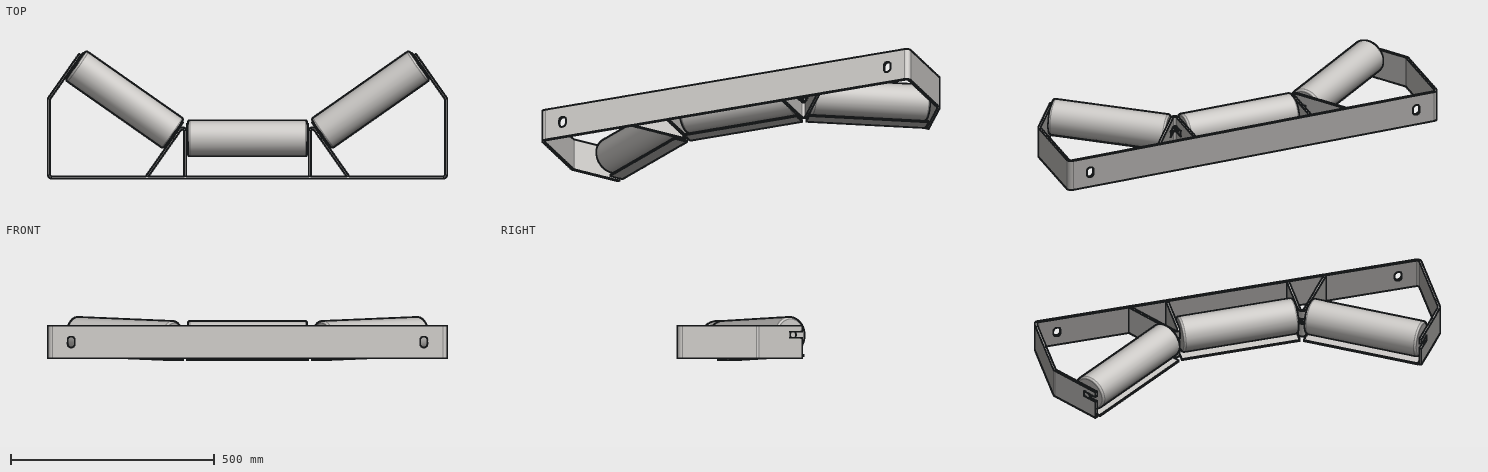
import cadquery as cq
import math

bar_thickness = 6
bar_height = 80
foot_bend_inner_radius = 6
foot_bend_outer_radius = foot_bend_inner_radius + bar_thickness
bend_inner_radius = 4
bend_outer_radius = bend_inner_radius + bar_thickness

frame_half_width = 490
trough_angle = 35
upright_height = 196.6
arm_length = 134.5
mount_hole_x = 432
mount_hole_width = 18
mount_hole_height = 27

roller_radius = 44.5
roller_length = 292
roller_end_fillet = 5
axle_diameter = 18
axle_flat_height = 15
slot_reach = 45
slot_depth_margin = 2

forward_tilt = 2
center_axis_y = 99.5
center_axis_z = 47.5
side_axis_drop = 28
side_axis_outer_z = 57.9

support_gap = 300

strip_width = 36
strip_length = 299
strip_thickness = 4
strip_bottom_drop = 52.4

axle_length = support_gap + 2 * bar_thickness
flat_length = bar_thickness + 2 * slot_depth_margin

trough = math.radians(trough_angle)
tilt = math.radians(forward_tilt)
arm_along = (math.sin(trough), math.cos(trough))
arm_normal = (math.cos(trough), -math.sin(trough))
inner_corner_drop = bar_thickness * math.tan(trough / 2)


def step(point, direction, distance):
    """Point reached from another by moving along a direction in plan."""
    return (point[0] + direction[0] * distance, point[1] + direction[1] * distance)


def round_bend(body, corner, radius):
    """Fillet the upright edge standing on a plan corner."""
    edge_middle = (corner[0], corner[1], bar_height / 2)
    return body.edges(cq.selectors.NearestToPointSelector(edge_middle)).fillet(radius)


frame_foot_outer = (-frame_half_width, 0)
frame_foot_inner = (-frame_half_width + bar_thickness, bar_thickness)
arm_root_outer = (-frame_half_width, upright_height)
arm_root_inner = (-frame_half_width + bar_thickness, upright_height - inner_corner_drop)
arm_tip_outer = step(arm_root_outer, arm_along, arm_length)
arm_tip_inner = step(arm_tip_outer, arm_normal, bar_thickness)

axis_at_arm = step(arm_tip_inner, arm_along, -side_axis_drop)
side_center = step(axis_at_arm, arm_normal, support_gap / 2)
side_axis = (arm_normal[0] * math.cos(tilt), arm_normal[1] * math.cos(tilt), -math.sin(tilt))
side_up = (arm_normal[0] * math.sin(tilt), arm_normal[1] * math.sin(tilt), math.cos(tilt))
side_center_z = side_axis_outer_z - math.sin(tilt) * axle_length / 2
left_place = cq.Location(
    cq.Plane(origin=(*side_center, side_center_z), xDir=side_axis, normal=side_up)
)
center_place = cq.Location(cq.Vector(0, center_axis_y, center_axis_z))


def make_slot_cutter(end):
    """Open slot for one axle tongue; end is -1 or +1 along the axle."""
    middle_x = end * (axle_length - bar_thickness) / 2
    return (
        cq.Workplane("XY")
        .box(flat_length, slot_reach, axle_flat_height, centered=(True, False, True))
        .translate((middle_x, -axle_diameter / 2, 0))
    )


def make_roller():
    """Roller with its axle, flattened at both ends to sit in the slots, along local X."""
    shell = (
        cq.Workplane("YZ", origin=(-roller_length / 2, 0, 0))
        .circle(roller_radius)
        .extrude(roller_length)
        .edges()
        .fillet(roller_end_fillet)
    )
    axle = (
        cq.Workplane("YZ", origin=(-axle_length / 2, 0, 0))
        .circle(axle_diameter / 2)
        .extrude(axle_length)
    )
    flat_depth = (axle_diameter - axle_flat_height) / 2
    flat_offset = (axle_flat_height + flat_depth) / 2
    for end in (-1, 1):
        for face in (-1, 1):
            flat = cq.Workplane("XY").box(flat_length, axle_diameter, flat_depth)
            flat_x = end * (axle_length - bar_thickness) / 2
            axle = axle.cut(flat.translate((flat_x, 0, face * flat_offset)))
    return shell.union(axle)


def make_strip(roller_tilt):
    """Flat strip below a roller, on one side of the axle plane, centred plumb under it."""
    plumb_shift = strip_bottom_drop * math.tan(roller_tilt)
    return (
        cq.Workplane("XY")
        .box(strip_length, strip_width, strip_thickness, centered=(True, False, False))
        .translate((plumb_shift, 0, -strip_bottom_drop))
    )


def place(body, location):
    """Copy of a local body moved to a roller position."""
    return cq.Workplane("XY").newObject([body.val().moved(location)])


def mirror_x(body):
    """Copy of a body on the opposite side of the frame."""
    return body.mirror("YZ")


def make_frame():
    left_outer = [frame_foot_outer, arm_root_outer, arm_tip_outer]
    left_inner = [arm_tip_inner, arm_root_inner, frame_foot_inner]
    left_outline = left_outer + left_inner
    right_outline = [(-x, y) for x, y in reversed(left_outline)]
    frame = cq.Workplane("XY").polyline(left_outline + right_outline).close().extrude(bar_height)

    bends = (
        (frame_foot_outer, foot_bend_outer_radius),
        (frame_foot_inner, foot_bend_inner_radius),
        (arm_root_outer, bend_outer_radius),
        (arm_root_inner, bend_inner_radius),
    )
    for side in (-1, 1):
        for corner, radius in bends:
            frame = round_bend(frame, (side * corner[0], corner[1]), radius)

    mount_holes = (
        cq.Workplane("XZ")
        .pushPoints([(-mount_hole_x, bar_height / 2), (mount_hole_x, bar_height / 2)])
        .slot2D(mount_hole_height, mount_hole_width, 90)
        .extrude(-bar_thickness)
    )
    axle_slot = place(make_slot_cutter(-1), left_place)
    return frame.cut(mount_holes).cut(axle_slot).cut(mirror_x(axle_slot))


def make_left_bracket():
    face_point = step(axis_at_arm, arm_normal, support_gap)
    post_outer_x = -support_gap / 2
    post_inner_x = post_outer_x - bar_thickness
    back_face_point = step(face_point, arm_normal, bar_thickness)

    def leg_point_at_y(start, y):
        return step(start, arm_along, (y - start[1]) / arm_along[1])

    def leg_point_at_x(start, x):
        return step(start, arm_along, (x - start[0]) / arm_along[0])

    peak_outer = leg_point_at_x(face_point, post_outer_x)
    peak_inner = leg_point_at_x(back_face_point, post_inner_x)
    outline = [
        leg_point_at_y(face_point, bar_thickness),
        peak_outer,
        (post_outer_x, bar_thickness),
        (post_inner_x, bar_thickness),
        peak_inner,
        leg_point_at_y(back_face_point, bar_thickness),
    ]
    bracket = cq.Workplane("XY").polyline(outline).close().extrude(bar_height)
    bracket = round_bend(bracket, peak_outer, bend_outer_radius)
    bracket = round_bend(bracket, peak_inner, bend_inner_radius)
    leg_slot = place(make_slot_cutter(1), left_place)
    post_slot = place(make_slot_cutter(-1), center_place)
    return bracket.cut(leg_slot).cut(post_slot)


frame = make_frame()
left_bracket = make_left_bracket()
brackets = [left_bracket, mirror_x(left_bracket)]


def make_set(side_body, center_body):
    """Bodies at the left, centre and right roller positions."""
    left = place(side_body, left_place)
    return [left, place(center_body, center_place), mirror_x(left)]


roller = make_roller()
rollers = make_set(roller, roller)
strips = make_set(make_strip(tilt), make_strip(0))

result = cq.Compound.makeCompound([body.val() for body in [frame, *brackets, *rollers, *strips]])